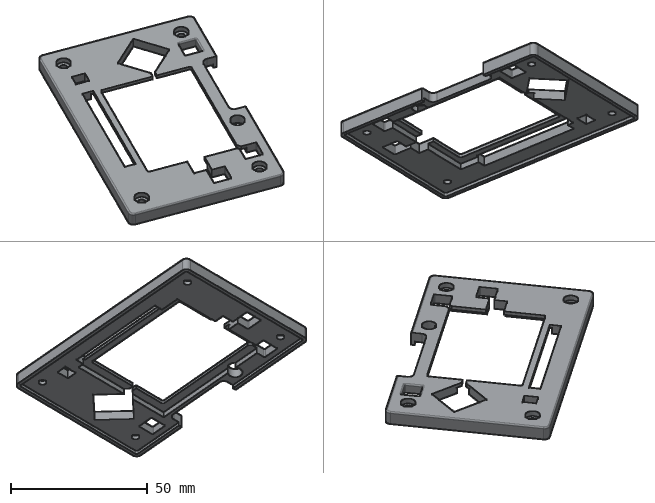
import cadquery as cq

length = 92.7
width = 61.1
height = 5.4
corner_radius = 2.0
top_fillet = 0.6

recess_depth = 1.5
rim_width = 1.4
display_skin = 1.5
bed_left, bed_right = -23.8, 29.6
bed_bottom, bed_top = -19.4, 23.1

screw_x = 39.1
screw_y = 23.2
screw_diameter = 2.8
counterbore_diameter = 5.5
counterbore_depth = 2.1

window_left, window_right = -20.5, 27.0
window_bottom, window_top = -15.95, 19.7
window_radius = 0.7
bevel_start_x = 25.3

notch_left, notch_right = -22.2, 7.0
notch_bottom = 24.5
notch_radius = 2.0

square_size = 7.0
square_radius = 0.3
square_y = 23.4
left_square_size = 6.8
left_square_x = -30.4
left_square_lip_radius = 0.6
right_square_x = 30.0
opening_a_x, opening_a_y = 37.9, 7.9
opening_b_right = 33.75
opening_b_bottom, opening_b_top = -0.5, 6.3

diamond_x, diamond_y = -31.9, 5.5
diamond_half_diagonal = 10.2
gap_width = 1.6

round_hole_x, round_hole_y = 12.9, 24.85
round_hole_diameter = 5.4
rectangle_left, rectangle_right = -31.2, -26.9
rectangle_bottom, rectangle_top = -23.1, -17.9
slot_half_length = 21.2
slot_bottom, slot_top = -22.8, -18.5


def block(left, right, bottom, top, z_low=0.0, z_high=height):
    """Box given by its limits; by default it spans the full plate height."""
    return cq.Workplane("XY").box(
        right - left, top - bottom, z_high - z_low, centered=False
    ).translate((left, bottom, z_low))


def square_opening(x, y, size=square_size):
    """Square through opening centred at (x, y) with slightly rounded corners."""
    half = size / 2
    opening = block(x - half, x + half, y - half, y + half)
    return opening.edges("|Z").fillet(square_radius)


def make_plate():
    plate = cq.Workplane("XY").rect(length, width).extrude(height)
    plate = plate.edges("|Z").fillet(corner_radius)
    return plate.faces(">Z").edges().fillet(top_fillet)


def underside_recess():
    recess = cq.Workplane("XY").rect(length - 2 * rim_width, width - 2 * rim_width).extrude(recess_depth)
    return recess.edges("|Z").fillet(corner_radius - rim_width)


def display_window():
    window = block(window_left, window_right, window_bottom, window_top)
    return window.edges("|Z").fillet(window_radius)


def window_bevel():
    """Diagonal passage between the window corner and the right square."""
    square_left = right_square_x - square_size / 2
    rise = square_left - bevel_start_x
    return (
        cq.Workplane("XY")
        .moveTo(bevel_start_x, window_top)
        .lineTo(square_left, window_top + rise)
        .lineTo(window_right + window_radius, window_top + window_radius)
        .lineTo(window_right, window_top - window_radius)
        .lineTo(bevel_start_x, window_top - window_radius)
        .close()
        .extrude(height)
    )


def back_notch():
    notch = block(notch_left, notch_right, notch_bottom, width / 2)
    return notch.edges("|Z and <Y").fillet(notch_radius)


def opening_link():
    """Passage where openings A and B meet at their corners."""
    opening_a_bottom = opening_a_y - square_size / 2
    return block(window_right, opening_a_x, opening_a_bottom, opening_b_top)


def cut_lipped_square(plate):
    """Square opening whose edge on the top face is rounded over."""
    half_pick = left_square_size / 2 + square_radius
    top_edge = cq.selectors.BoxSelector(
        (left_square_x - half_pick, square_y - half_pick, height - top_fillet / 2),
        (left_square_x + half_pick, square_y + half_pick, height + top_fillet / 2),
    )
    plate = plate.cut(square_opening(left_square_x, square_y, left_square_size))
    return plate.edges(top_edge).fillet(left_square_lip_radius)


def diamond():
    opening = (
        cq.Workplane("XY", origin=(diamond_x, diamond_y, 0))
        .moveTo(diamond_half_diagonal, 0)
        .lineTo(0, diamond_half_diagonal)
        .lineTo(-diamond_half_diagonal, 0)
        .lineTo(0, -diamond_half_diagonal)
        .close()
        .extrude(height)
    )
    half_gap = gap_width / 2
    gap = block(diamond_x, window_left, diamond_y - half_gap, diamond_y + half_gap)
    return opening.union(gap)


def round_hole():
    return cq.Workplane("XY").center(round_hole_x, round_hole_y).circle(round_hole_diameter / 2).extrude(height)


def drill_screw_holes(plate):
    return (
        plate.faces(">Z")
        .workplane(origin=(0, 0, height))
        .rect(2 * screw_x, 2 * screw_y, forConstruction=True)
        .vertices()
        .cboreHole(screw_diameter, counterbore_diameter, counterbore_depth)
    )


cutters = [
    underside_recess(),
    block(bed_left, bed_right, bed_bottom, bed_top, z_high=height - display_skin),
    display_window(),
    window_bevel(),
    back_notch(),
    square_opening(right_square_x, square_y),
    square_opening(opening_a_x, opening_a_y),
    block(window_right, opening_b_right, opening_b_bottom, opening_b_top),
    opening_link(),
    diamond(),
    round_hole(),
    block(rectangle_left, rectangle_right, rectangle_bottom, rectangle_top),
    block(-slot_half_length, slot_half_length, slot_bottom, slot_top),
]

result = cut_lipped_square(drill_screw_holes(make_plate()))
for cutter in cutters:
    result = result.cut(cutter)